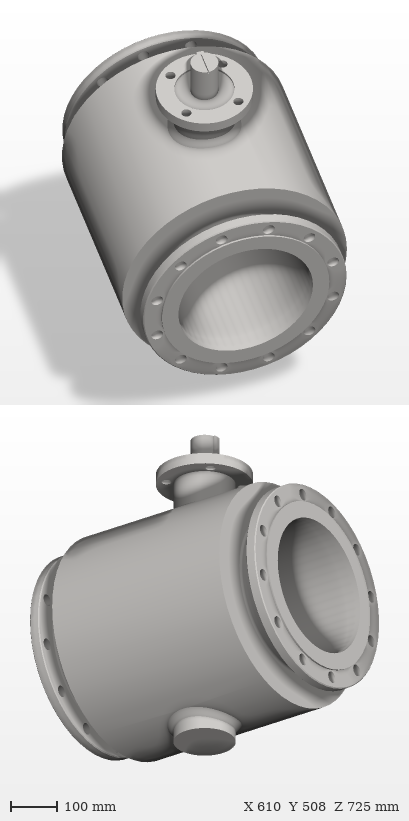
import cadquery as cq


length = 610.0
bore_diameter = 304.0
body_diameter = 508.0
body_length = 445.0
pipe_diameter = 350.0
pipe_flange_diameter = 460.0
pipe_flange_thickness = 25.0
pipe_flange_chamfer = 2.0
raised_face_diameter = 378.0
raised_face_height = 4.0
weld_radius = 5.0

bolt_count = 12
bolt_circle_diameter = 411.0
bolt_hole_diameter = 26.0

neck_diameter = 135.0
neck_bottom = -288.5
neck_weld = 13.0
mount_diameter = 210.0
mount_top = 355.0
mount_thickness = 25.0
mount_recess_diameter = 130.0
mount_recess_depth = 5.0
mount_hole_diameter = 22.0
mount_hole_count = 4
mount_hole_circle_diameter = 166.0

stem_diameter = 60.0
stem_top = neck_bottom + 725.0
key_width = 17.0
key_reach = 34.0
groove_start = -25.0
groove_width = 2.0
groove_depth = 4.0


def cylinder(diameter, bottom, top):
    """Vertical cylinder on the stem axis."""
    return cq.Workplane("XY").workplane(offset=bottom).circle(diameter / 2).extrude(top - bottom)


def make_body_with_necks():
    """Body drum crossed by the neck, with a sloped weld where they meet."""
    drum = cq.Workplane("YZ").circle(body_diameter / 2).extrude(body_length / 2, both=True)
    body = drum.union(cylinder(neck_diameter, neck_bottom, mount_top - mount_thickness))
    seam_reach = neck_diameter / 2 + neck_weld
    seam_zone = cq.selectors.BoxSelector(
        (-seam_reach, -seam_reach, -body_diameter / 2 - neck_weld),
        (seam_reach, seam_reach, body_diameter / 2 + neck_weld),
        boundingbox=True,
    )
    return body.edges(seam_zone).chamfer(neck_weld)


def make_pipe_end():
    """Pipe stub, flange and raised face on the +X side, with concave welds, turned about the X axis."""
    face_x = length / 2
    flange_front = face_x - raised_face_height
    flange_back = flange_front - pipe_flange_thickness
    body_end = body_length / 2
    pipe_radius = pipe_diameter / 2
    weld_top = pipe_radius + weld_radius
    flange_radius = pipe_flange_diameter / 2
    rim_radius = flange_radius - pipe_flange_chamfer
    profile = (
        cq.Workplane("XY")
        .moveTo(body_end, 0)
        .lineTo(body_end, weld_top)
        .radiusArc((body_end + weld_radius, pipe_radius), -weld_radius)
        .lineTo(flange_back - weld_radius, pipe_radius)
        .radiusArc((flange_back, weld_top), -weld_radius)
        .lineTo(flange_back, rim_radius)
        .lineTo(flange_back + pipe_flange_chamfer, flange_radius)
        .lineTo(flange_front - pipe_flange_chamfer, flange_radius)
        .lineTo(flange_front, rim_radius)
        .lineTo(flange_front, raised_face_diameter / 2)
        .lineTo(face_x, raised_face_diameter / 2)
        .lineTo(face_x, 0)
        .close()
    )
    pipe_end = profile.revolve(360, (0, 0, 0), (1, 0, 0))
    bolt_holes = (
        cq.Workplane("YZ")
        .workplane(offset=flange_back)
        .polarArray(bolt_circle_diameter / 2, 180 / bolt_count, 360, bolt_count)
        .circle(bolt_hole_diameter / 2)
        .extrude(pipe_flange_thickness + raised_face_height)
    )
    return pipe_end.cut(bolt_holes)


def make_mounting_flange():
    """Actuator flange with a shallow recess and four through holes."""
    flange = cylinder(mount_diameter, mount_top - mount_thickness, mount_top)
    recess = cylinder(mount_recess_diameter, mount_top - mount_recess_depth, mount_top)
    holes = (
        cq.Workplane("XY")
        .workplane(offset=mount_top - mount_thickness)
        .polarArray(mount_hole_circle_diameter / 2, 180 / mount_hole_count, 360, mount_hole_count)
        .circle(mount_hole_diameter / 2)
        .extrude(mount_thickness)
    )
    return flange.cut(recess).cut(holes)


def make_stem():
    """Round stem with a full-height key toward -X and a position groove in its top."""
    stem_bottom = mount_top - mount_recess_depth
    stem_height = stem_top - stem_bottom
    from_bottom = (False, True, False)
    key = (
        cq.Workplane("XY")
        .box(key_reach, key_width, stem_height, centered=from_bottom)
        .translate((-key_reach, 0, stem_bottom))
    )
    groove = (
        cq.Workplane("XY")
        .box(stem_diameter / 2 - groove_start, groove_width, groove_depth, centered=from_bottom)
        .translate((groove_start, 0, stem_top - groove_depth))
    )
    return cylinder(stem_diameter, stem_bottom, stem_top).union(key).cut(groove)


pipe_end = make_pipe_end()
bore = cq.Workplane("YZ").circle(bore_diameter / 2).extrude(length / 2, both=True)

result = (
    make_body_with_necks()
    .union(pipe_end)
    .union(pipe_end.mirror("YZ"))
    .union(make_mounting_flange())
    .union(make_stem())
    .cut(bore)
)